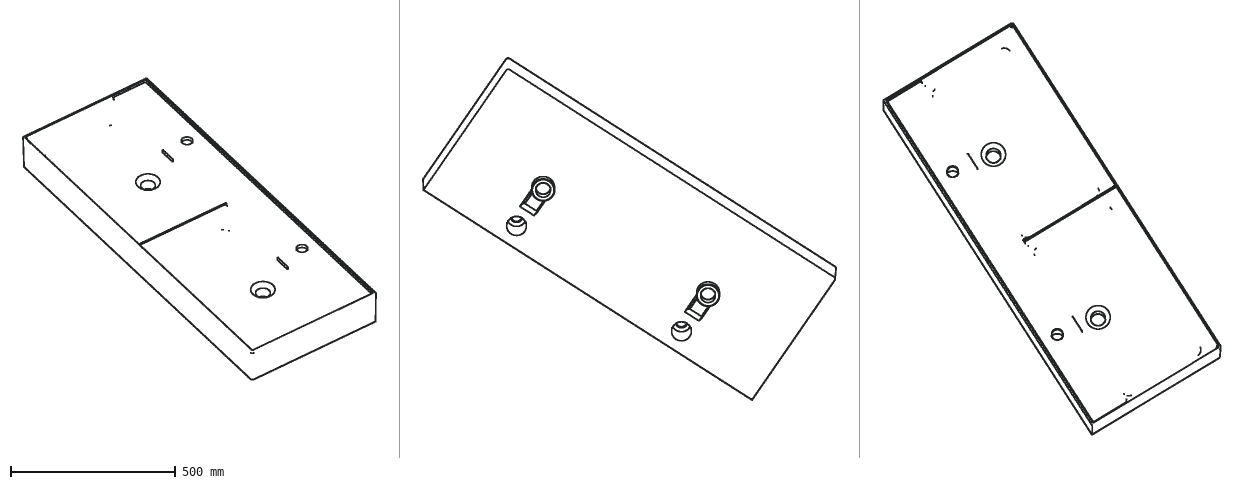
import cadquery as cq
import math

WIDTH = 1203.9
DEPTH = 464.12
BODY_HEIGHT = 118.0
TOTAL_HEIGHT = 146.0

SHELL_DRAFT = 2.1
FRONT_CORNER_RADIUS = 7.6
RIM_BAND_HEIGHT = 7.0
RIM_EDGE_RADIUS = 3.0

RIM_TOP_WIDTH = 6.0
RIM_WIDTH = 9.5
RIM_HEIGHT = 5.0
RIM_INNER_RADIUS = 4.0

BASIN_DEPTH = 95.0
FLOOR_APEX_DEPTH = 94.0
FLOOR_SLOPE = 0.045
BACK_WALL_TOP = 129.5
BACK_WALL_BASE = 148.6
FRONT_WALL_BASE = 52.9
SIDE_WALL_BASE = 42.5
DIVIDER_TOP_WIDTH = 5.0
DIVIDER_BASE_WIDTH = 49.5
BASIN_RADIUS_TOP = 1.5
BASIN_RADIUS_BASE = 22.5
FLOOR_FILLET = 6.0
DECK_EDGE_FILLET = 8.0

BASIN_SPACING = 602.0
TAP_DIAMETER = 35.0
TAP_FROM_BACK = 62.0
TAP_RELIEF_DIAMETER = 60.0
TAP_DECK_THICKNESS = 12.0
DRAIN_FROM_BACK = 208.0
DRAIN_DIAMETER = 45.0
DRAIN_FUNNEL_DIAMETER = 74.0
DRAIN_FUNNEL_DEPTH = 14.0
DRAIN_FUNNEL_OVERRUN = 3.0
SPIGOT_DIAMETER = 70.0
SPIGOT_EDGE_CHAMFER = 2.0

SLOT_WIDTH = 57.0
SLOT_HEIGHT = 9.0
SLOT_BELOW_DECK = 24.0
SLOT_DEPTH = 15.0
DUCT_WIDTH = 52.0
DUCT_DROP = 20.0
DUCT_START_FROM_BACK = 119.0
DUCT_FLAT_FROM_BACK = 140.0
DUCT_EDGE_CHAMFER = 5.0

BACK_Y = DEPTH / 2
FRONT_Y = -DEPTH / 2
DECK_Z = BODY_HEIGHT - RIM_HEIGHT
WALL_FOOT_Z = DECK_Z - BASIN_DEPTH
FLOOR_APEX_Z = DECK_Z - FLOOR_APEX_DEPTH
DRAIN_RIM_Z = FLOOR_APEX_Z + FLOOR_SLOPE * DRAIN_FUNNEL_DIAMETER / 2
SPIGOT_BOTTOM_Z = BODY_HEIGHT - TOTAL_HEIGHT
DRAIN_Y = BACK_Y - DRAIN_FROM_BACK
TAP_Y = BACK_Y - TAP_FROM_BACK
BASIN_SIDES = (-1, 1)


def rounded_section(x_min, x_max, y_min, y_max, z, radius):
    """Horizontal rectangle at height z with rounded corners, as a wire."""
    inset = radius * (1 - math.sqrt(0.5))
    return (
        cq.Workplane("XY", origin=(0, 0, z))
        .moveTo(x_min + radius, y_min)
        .lineTo(x_max - radius, y_min)
        .threePointArc((x_max - inset, y_min + inset), (x_max, y_min + radius))
        .lineTo(x_max, y_max - radius)
        .threePointArc((x_max - inset, y_max - inset), (x_max - radius, y_max))
        .lineTo(x_min + radius, y_max)
        .threePointArc((x_min + inset, y_max - inset), (x_min, y_max - radius))
        .lineTo(x_min, y_min + radius)
        .threePointArc((x_min + inset, y_min + inset), (x_min + radius, y_min))
        .close()
        .val()
    )


def loft_between(lower, upper):
    """Straight-sided solid between two horizontal sections."""
    return cq.Workplane(cq.Solid.makeLoft([lower, upper], True))


def soften_front_corners(block):
    """Round the two upright edges at the front of a block."""
    front_half = cq.selectors.BoxSelector((-WIDTH, 2 * FRONT_Y, -1), (WIDTH, 0, TOTAL_HEIGHT))
    return block.edges(front_half).edges("not #Z").fillet(FRONT_CORNER_RADIUS)


def make_shell():
    """Outer block with drafted front and ends, an upright back and softened front corners."""
    foot_width = WIDTH - 2 * SHELL_DRAFT
    foot_depth = DEPTH - SHELL_DRAFT
    band_z = BODY_HEIGHT - RIM_BAND_HEIGHT
    block = (
        cq.Workplane("XY")
        .center(0, SHELL_DRAFT / 2)
        .rect(foot_width, foot_depth)
        .workplane(offset=band_z)
        .center(0, -SHELL_DRAFT / 2)
        .rect(WIDTH, DEPTH)
        .loft(ruled=True)
    )
    band = cq.Workplane("XY", origin=(0, 0, band_z)).rect(WIDTH, DEPTH).extrude(RIM_BAND_HEIGHT)
    block = soften_front_corners(block).union(soften_front_corners(band))
    return block.faces(">Z").edges("not >Y").fillet(RIM_EDGE_RADIUS)


def make_tray():
    """Shallow recess with sloping sides that leaves the rim standing around the deck."""
    sections = []
    for inset, z in ((RIM_WIDTH, DECK_Z), (RIM_TOP_WIDTH, BODY_HEIGHT)):
        half = WIDTH / 2 - inset
        sections.append(
            rounded_section(
                -half, half, FRONT_Y + inset, BACK_Y - inset, z, RIM_INNER_RADIUS
            )
        )
    return loft_between(*sections)


def make_floor():
    """Block under the right-hand basin; its top is a shallow cone falling to the drain."""
    reach = BASIN_SPACING
    return (
        cq.Workplane("XZ", origin=(BASIN_SPACING / 2, DRAIN_Y, 0))
        .moveTo(0, 0)
        .lineTo(reach, 0)
        .lineTo(reach, FLOOR_APEX_Z + FLOOR_SLOPE * reach)
        .lineTo(0, FLOOR_APEX_Z)
        .close()
        .revolve(360, (0, 0), (0, 1))
    )


def make_basin():
    """Right-hand basin cavity: corners open out from tight at the deck to round at the floor."""
    foot_outline = rounded_section(
        DIVIDER_BASE_WIDTH / 2,
        WIDTH / 2 - SIDE_WALL_BASE,
        FRONT_Y + FRONT_WALL_BASE,
        BACK_Y - BACK_WALL_BASE,
        WALL_FOOT_Z,
        BASIN_RADIUS_BASE,
    )
    deck_outline = rounded_section(
        DIVIDER_TOP_WIDTH / 2,
        WIDTH / 2 - RIM_WIDTH,
        FRONT_Y + RIM_WIDTH,
        BACK_Y - BACK_WALL_TOP,
        DECK_Z,
        BASIN_RADIUS_TOP,
    )
    cavity = loft_between(foot_outline, deck_outline).cut(make_floor())
    return cavity.faces("<Z").edges().fillet(FLOOR_FILLET)


def make_deck_rounding():
    """Cutter that rounds the deck edge above the back walls of both basins."""
    wall_slope = math.atan((BACK_WALL_BASE - BACK_WALL_TOP) / BASIN_DEPTH)
    half_turn = (math.pi / 2 - wall_slope) / 2
    setback = DECK_EDGE_FILLET * math.tan(half_turn)
    edge_y = BACK_Y - BACK_WALL_TOP
    arc_y = edge_y + setback
    arc_z = DECK_Z - DECK_EDGE_FILLET
    middle = (
        arc_y - DECK_EDGE_FILLET * math.sin(half_turn),
        arc_z + DECK_EDGE_FILLET * math.cos(half_turn),
    )
    wall_point = (
        edge_y - setback * math.sin(wall_slope),
        DECK_Z - setback * math.cos(wall_slope),
    )
    length = WIDTH - 2 * RIM_WIDTH
    return (
        cq.Workplane("YZ", origin=(-length / 2, 0, 0))
        .moveTo(arc_y, DECK_Z)
        .threePointArc(middle, wall_point)
        .lineTo(wall_point[0], DECK_Z)
        .close()
        .extrude(length)
    )


def make_spigot(x):
    """Drain outlet below the body."""
    return (
        cq.Workplane("XY", origin=(x, DRAIN_Y, SPIGOT_BOTTOM_Z))
        .circle(SPIGOT_DIAMETER / 2)
        .extrude(-SPIGOT_BOTTOM_Z)
        .faces("<Z")
        .chamfer(SPIGOT_EDGE_CHAMFER)
    )


def make_duct(x):
    """Solid overflow duct running from a sloping start to the drain outlet."""
    return (
        cq.Workplane("YZ", origin=(x - DUCT_WIDTH / 2, 0, 0))
        .moveTo(BACK_Y - DUCT_START_FROM_BACK, 0)
        .lineTo(BACK_Y - DUCT_FLAT_FROM_BACK, -DUCT_DROP)
        .lineTo(DRAIN_Y, -DUCT_DROP)
        .lineTo(DRAIN_Y, 0)
        .close()
        .extrude(DUCT_WIDTH)
        .faces("<Z")
        .edges("|Y")
        .chamfer(DUCT_EDGE_CHAMFER)
    )


def make_drain_bore(x):
    """Through bore with a conical funnel that opens into the basin floor."""
    bore_radius = DRAIN_DIAMETER / 2
    funnel_radius = DRAIN_FUNNEL_DIAMETER / 2
    flare = (funnel_radius - bore_radius) / DRAIN_FUNNEL_DEPTH
    overrun_radius = funnel_radius + flare * DRAIN_FUNNEL_OVERRUN
    return (
        cq.Workplane("XZ", origin=(x, DRAIN_Y, 0))
        .moveTo(0, SPIGOT_BOTTOM_Z)
        .lineTo(bore_radius, SPIGOT_BOTTOM_Z)
        .lineTo(bore_radius, DRAIN_RIM_Z - DRAIN_FUNNEL_DEPTH)
        .lineTo(overrun_radius, DRAIN_RIM_Z + DRAIN_FUNNEL_OVERRUN)
        .lineTo(0, DRAIN_RIM_Z + DRAIN_FUNNEL_OVERRUN)
        .close()
        .revolve(360, (0, 0), (0, 1))
    )


def make_tap_hole(x):
    """Tap hole through the deck, opening into a wider bore from below."""
    hole = cq.Workplane("XY", origin=(x, TAP_Y, 0)).circle(TAP_DIAMETER / 2).extrude(DECK_Z)
    relief_height = DECK_Z - TAP_DECK_THICKNESS
    return hole.union(
        cq.Workplane("XY", origin=(x, TAP_Y, 0))
        .circle(TAP_RELIEF_DIAMETER / 2)
        .extrude(relief_height)
    )


def make_overflow_slot(x):
    """Blind round-ended slot cut backwards into the back wall."""
    inner_y = BACK_Y - BACK_WALL_TOP + SLOT_DEPTH
    return (
        cq.Workplane("XZ", origin=(x, inner_y, DECK_Z - SLOT_BELOW_DECK))
        .slot2D(SLOT_WIDTH, SLOT_HEIGHT)
        .extrude(inner_y - (BACK_Y - BACK_WALL_BASE))
    )


basin_centres = [side * BASIN_SPACING / 2 for side in BASIN_SIDES]

result = make_shell()
for basin_x in basin_centres:
    result = result.union(make_spigot(basin_x)).union(make_duct(basin_x))

right_basin = make_basin()
result = result.cut(make_tray())
result = result.cut(right_basin).cut(right_basin.mirror("YZ"))
result = result.cut(make_deck_rounding())

for basin_x in basin_centres:
    result = result.cut(make_drain_bore(basin_x))
    result = result.cut(make_tap_hole(basin_x))
    result = result.cut(make_overflow_slot(basin_x))